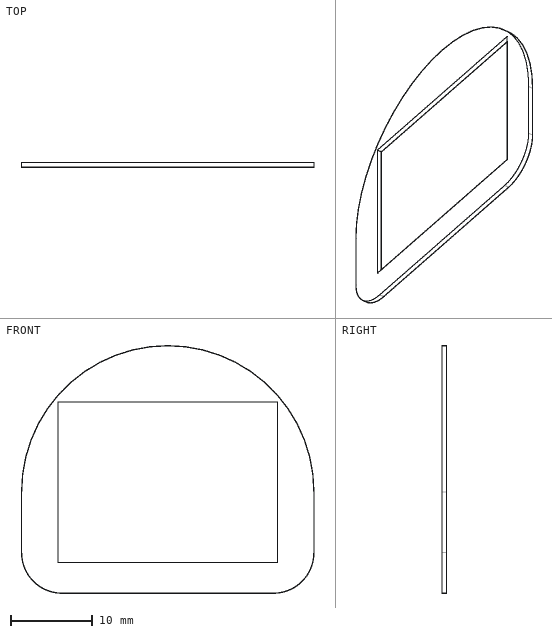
import cadquery as cq

width = 36.0
height = 30.5
thickness = 0.6
corner_radius = 5.0

window_width = 27.0
window_height = 19.73
window_bottom = 3.8

half_width = width / 2
arch_start = height - half_width


def make_plate():
    """Arched plate with its front face on the XZ plane and its base at Z = 0."""
    return (
        cq.Workplane("XZ")
        .moveTo(-half_width, 0)
        .lineTo(half_width, 0)
        .lineTo(half_width, arch_start)
        .threePointArc((0, height), (-half_width, arch_start))
        .close()
        .extrude(-thickness)
        .edges("|Y and <Z")
        .fillet(corner_radius)
    )


def make_window():
    """Block that cuts the window through the full thickness."""
    return cq.Workplane("XY").box(
        window_width, thickness, window_height, centered=(True, False, False)
    ).translate((0, 0, window_bottom))


result = make_plate().cut(make_window())